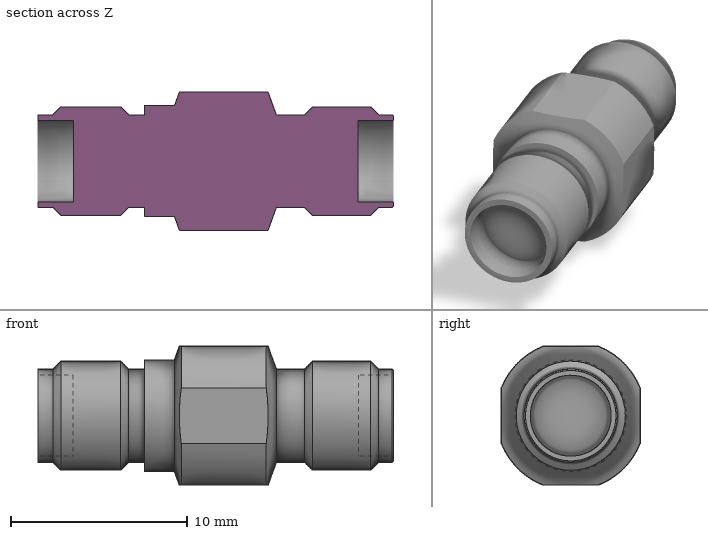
import cadquery as cq
import math

length = 20.2
left_end = -length / 2
right_end = length / 2

tip_radius = 2.65
tip_length = 0.85
barrel_radius = 3.1
barrel_chamfer = barrel_radius - tip_radius
left_barrel_length = 4.3
right_barrel_length = 4.2
right_tip_chamfer = 0.08
bore_radius = 2.3
bore_depth = 2.0

collar_radius = 3.175
collar_start = left_end + 6.05
collar_length = 1.7
across_flats = 7.9
body_radius = 4.25
body_length = 5.8
body_cone_angle = 20.0

body_start = collar_start + collar_length
body_end = body_start + body_length


def cone_length(inner_radius):
    """Axial length of the body's end cone, from inner_radius out to body_radius."""
    return (body_radius - inner_radius) * math.tan(math.radians(body_cone_angle))


def revolve_about_x(points):
    """Solid of revolution about the X axis from (x, radius) points."""
    return cq.Workplane("XY").polyline(points).close().revolve(360, (0, 0, 0), (1, 0, 0))


def make_turned_body():
    left_barrel_start = left_end + tip_length
    left_barrel_end = left_barrel_start + left_barrel_length
    right_barrel_end = right_end - tip_length
    right_barrel_start = right_barrel_end - right_barrel_length
    return revolve_about_x([
        (left_end, 0),
        (left_end, tip_radius),
        (left_barrel_start, tip_radius),
        (left_barrel_start + barrel_chamfer, barrel_radius),
        (left_barrel_end - barrel_chamfer, barrel_radius),
        (left_barrel_end, tip_radius),
        (collar_start, tip_radius),
        (collar_start, collar_radius),
        (body_start, collar_radius),
        (body_start + cone_length(collar_radius), body_radius),
        (body_end - cone_length(tip_radius), body_radius),
        (body_end, tip_radius),
        (right_barrel_start, tip_radius),
        (right_barrel_start + barrel_chamfer, barrel_radius),
        (right_barrel_end - barrel_chamfer, barrel_radius),
        (right_barrel_end, tip_radius),
        (right_end - right_tip_chamfer, tip_radius),
        (right_end, tip_radius - right_tip_chamfer),
        (right_end, 0),
    ])


def cut_wrench_flats(part):
    """Trim the body to four flats; everything else lies inside the square bar."""
    return part.intersect(cq.Workplane("XY").box(length, across_flats, across_flats))


def cut_end_bores(part):
    """Blind, flat-bottomed bore in each end."""
    for bore_start in (left_end, right_end - bore_depth):
        bore = cq.Workplane("YZ", origin=(bore_start, 0, 0)).circle(bore_radius).extrude(bore_depth)
        part = part.cut(bore)
    return part


result = cut_end_bores(cut_wrench_flats(make_turned_body()))